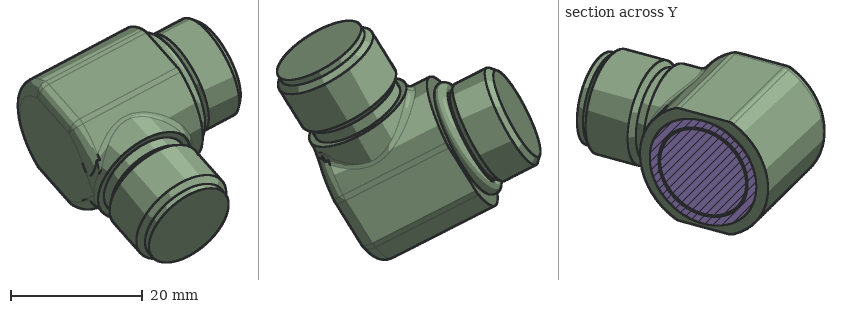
import cadquery as cq
import math

body_radius = 11.0
body_length = 20.0
flat_half_height = 10.0
edge_radius = 2.0

collar_diameter = 17.0
collar_end = 12.0
blend_radius = 1.0

tip_start_angle = 29.7
tip_end_slope = 0.77
tip_width = 3.0
tip_depth = 3.0

thread_diameter = 16.6
neck_diameter = 14.85
pilot_diameter = 14.7
thread_bevel = 0.95
neck_length = 1.85
thread_end = 22.95
arm_end = 24.0

ring_height = 2.0
ring_section_radius = 1.03
ring_outer_diameter = 18.85
spigot_length = 9.5

front_y = -collar_diameter / 2
back_y = front_y + body_length


def revolve_about_x(points):
    profile = cq.Workplane("XY").polyline(points).close()
    return profile.revolve(360, (0, 0, 0), (1, 0, 0))


def revolve_about_y(points):
    profile = cq.Workplane("XY").polyline(points).close()
    return profile.revolve(360, (0, 0, 0), (0, 1, 0))


def make_barrel(start_y):
    """Body with flats and rounded corners, running from start_y to the back face."""
    length = back_y - start_y
    cylinder = cq.Workplane("XZ", origin=(0, back_y, 0)).circle(body_radius).extrude(length)
    slab = cq.Workplane("XY").box(3 * body_radius, 4 * body_length, 2 * flat_half_height)
    return cylinder.intersect(slab).edges("|Y").edges(">Z or <Z").fillet(edge_radius)


def make_collar(end_x):
    return cq.Workplane("YZ").circle(collar_diameter / 2).extrude(end_x)


def make_blended_barrel():
    """Over-long barrel and collar, joined by a concave fillet and trimmed at the collar end."""
    joined = make_barrel(front_y - body_length).union(make_collar(2 * collar_end))
    seam_box = cq.selectors.BoxSelector(
        (0, -collar_diameter, -collar_diameter),
        (body_radius + blend_radius / 2, collar_diameter, collar_diameter),
    )
    seam = joined.edges("%BSPLINE").edges(seam_box)
    trim = cq.Workplane("XY").box(2 * collar_end, 4 * body_length, 4 * body_radius)
    return seam.fillet(blend_radius).intersect(trim)


def make_tip_wedge():
    """Upper half of the sloped tip that carries the front face out to the collar."""
    start_radius = body_radius - edge_radius
    start_x = start_radius * math.cos(math.radians(tip_start_angle))
    start_z = start_radius * math.sin(math.radians(tip_start_angle))
    edge_x = start_x - body_radius
    edge_length = math.hypot(edge_x, start_z)
    outward = cq.Vector(start_z, 0, -edge_x) / edge_length
    along_edge = cq.Vector(edge_x, 0, start_z) / edge_length
    inward_y = cq.Vector(0, 1, 0)
    tip = cq.Vector(body_radius, front_y, 0)

    def section(distance):
        """Wire across the wedge, whose slope grows with the distance from the tip."""
        base = tip + along_edge * distance
        outer_depth = tip_width * tip_end_slope * distance / edge_length
        return cq.Wire.makePolygon([
            base - outward * tip_width,
            base,
            base + outward * tip_width + inward_y * outer_depth,
            base + outward * tip_width + inward_y * tip_depth,
            base - outward * tip_width + inward_y * tip_depth,
        ], close=True)

    return cq.Workplane(cq.Solid.makeLoft([section(0), section(edge_length)], True))


def make_collared_body():
    """Body with its rounded front edge, joined to the collar and the sloped tip."""
    rounded = make_barrel(front_y).faces("<Y").edges().fillet(edge_radius)
    blended = make_blended_barrel()
    behind_rounding = cq.Workplane("XZ", origin=(0, front_y + edge_radius, 0))
    behind_rounding = behind_rounding.rect(4 * body_radius, 4 * body_radius).extrude(-2 * body_length)
    tip_limit = cq.Workplane("XY").box(2 * body_radius, 4 * body_length, 4 * body_radius)
    tip = make_tip_wedge().intersect(blended).intersect(tip_limit)
    body = rounded.union(make_collar(collar_end)).union(blended.intersect(behind_rounding))
    return body.union(tip).union(tip.mirror("XY"))


def make_arm():
    """Neck, beveled thread and pilot of the arm along X."""
    thread_radius = thread_diameter / 2
    neck_radius = neck_diameter / 2
    pilot_radius = pilot_diameter / 2
    bevel_start = collar_end + neck_length
    return revolve_about_x([
        (0, 0),
        (0, neck_radius),
        (bevel_start, neck_radius),
        (bevel_start + thread_bevel, thread_radius),
        (thread_end - thread_bevel, thread_radius),
        (thread_end, pilot_radius),
        (arm_end, pilot_radius),
        (arm_end, 0),
    ])


def make_spigot():
    """Beveled thread along Y, with the sealing ring seated at its root."""
    thread_radius = thread_diameter / 2
    root_radius = neck_diameter / 2
    end_radius = pilot_diameter / 2
    ring_y = back_y + ring_height
    end_y = back_y + spigot_length
    spigot = revolve_about_y([
        (0, 0),
        (root_radius, 0),
        (root_radius, ring_y),
        (thread_radius, ring_y + thread_bevel),
        (thread_radius, end_y - thread_bevel),
        (end_radius, end_y),
        (0, end_y),
    ])
    section_x = ring_outer_diameter / 2 - ring_section_radius
    section_y = ring_y - ring_section_radius
    ring_section = cq.Workplane("XY", origin=(-section_x, section_y, 0)).circle(ring_section_radius)
    ring = ring_section.revolve(360, (section_x, 0, 0), (section_x, 1, 0))
    return spigot.union(ring)


result = make_collared_body().union(make_arm()).union(make_spigot())